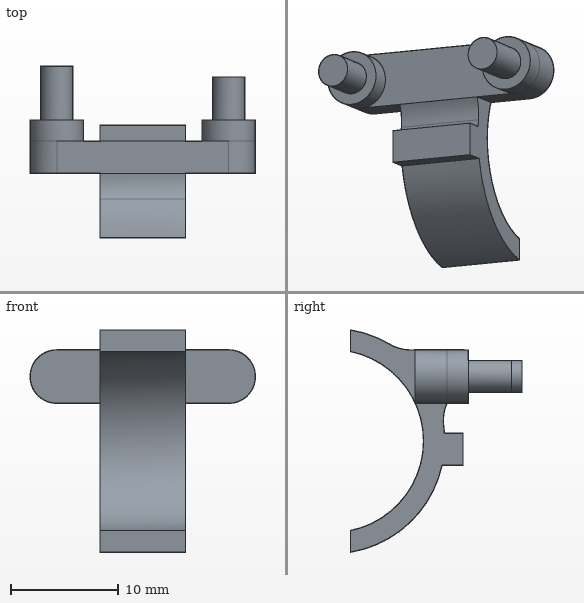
import cadquery as cq
import math

CLIP_WIDTH = 8.0
BORE_RADIUS = 8.5
RING_RADIUS = 10.5
RING_MID_RADIUS = (BORE_RADIUS + RING_RADIUS) / 2
OPENING_Y = 1.7
WEB_RADIUS = 4.0

TAB_TOP = 0.74
TAB_HEIGHT = 3.0
TAB_BACK = 12.2

BAR_LENGTH = 21.0
BAR_HEIGHT = 5.0
BAR_THICKNESS = 3.0
BAR_FRONT = 7.7
BAR_BACK = BAR_FRONT + BAR_THICKNESS
BAR_TOP = BORE_RADIUS
BAR_BOTTOM = BAR_TOP - BAR_HEIGHT
BAR_MID_Z = (BAR_TOP + BAR_BOTTOM) / 2

BOSS_LENGTH = 2.0
BOSS_BACK = BAR_BACK + BOSS_LENGTH
PEG_DIAMETER = 3.0
LEFT_PEG_LENGTH = 5.0
RIGHT_PEG_LENGTH = 4.0
PEG_X = (BAR_LENGTH - BAR_HEIGHT) / 2


def side_plane():
    """YZ plane at the left side of the clip, with its normal along +X."""
    return cq.Workplane("YZ", origin=(-CLIP_WIDTH / 2, 0, 0))


def plane_facing_back(y):
    """XZ plane at the given Y, with its normal along +Y and local X reversed."""
    return cq.Workplane(cq.Plane(origin=(0, y, 0), xDir=(-1, 0, 0), normal=(0, 1, 0)))


def make_ring():
    """Ring cut off by the opening plane."""
    ring = side_plane().circle(RING_RADIUS).circle(BORE_RADIUS).extrude(CLIP_WIDTH)
    keep = (
        side_plane()
        .center(OPENING_Y, 0)
        .rect(RING_RADIUS, 2 * RING_RADIUS, centered=(False, True))
        .extrude(CLIP_WIDTH)
    )
    return ring.intersect(keep)


def make_web(corner_y, corner_z, side):
    """Web from a bar corner to the ring, with a concave arc tangent to the ring.

    side is +1 for a web above the corner's radial line, towards the ring's
    upper end, and -1 for a web below it.
    """
    corner_distance = math.hypot(corner_y, corner_z)
    corner_angle = math.atan2(corner_z, corner_y)
    centre_distance = RING_RADIUS + WEB_RADIUS
    cosine = (corner_distance**2 + centre_distance**2 - WEB_RADIUS**2) / (
        2 * corner_distance * centre_distance
    )
    contact_angle = corner_angle + side * math.acos(cosine)
    direction = (math.cos(contact_angle), math.sin(contact_angle))
    centre = tuple(centre_distance * part for part in direction)
    contact = tuple(RING_RADIUS * part for part in direction)
    chord_y = (corner_y + contact[0]) / 2 - centre[0]
    chord_z = (corner_z + contact[1]) / 2 - centre[1]
    reach = WEB_RADIUS / math.hypot(chord_y, chord_z)
    arc_middle = (centre[0] + reach * chord_y, centre[1] + reach * chord_z)
    if side > 0:
        root = (corner_y, math.sqrt(RING_MID_RADIUS**2 - corner_y**2))
    else:
        root = (math.sqrt(RING_MID_RADIUS**2 - corner_z**2), corner_z)
    return (
        side_plane()
        .moveTo(corner_y, corner_z)
        .threePointArc(arc_middle, contact)
        .lineTo(*root)
        .close()
        .extrude(CLIP_WIDTH)
    )


def make_tab():
    """Rectangular tab rooted inside the ring."""
    return (
        side_plane()
        .center(RING_MID_RADIUS, TAB_TOP - TAB_HEIGHT)
        .rect(TAB_BACK - RING_MID_RADIUS, TAB_HEIGHT, centered=False)
        .extrude(CLIP_WIDTH)
    )


def make_clip():
    """Ring with its tab and the webs against the bar."""
    upper_web = make_web(BAR_FRONT, BAR_TOP, 1)
    lower_web = make_web(BAR_BACK, BAR_BOTTOM, -1)
    return make_ring().union(upper_web).union(lower_web).union(make_tab())


def make_peg(x, peg_length):
    """Boss and peg standing on the back of the bar."""
    boss = plane_facing_back(BAR_BACK).center(-x, BAR_MID_Z).circle(BAR_HEIGHT / 2).extrude(BOSS_LENGTH)
    peg = plane_facing_back(BOSS_BACK).center(-x, BAR_MID_Z).circle(PEG_DIAMETER / 2).extrude(peg_length)
    return boss.union(peg, clean=False)


def make_bar():
    """Round-ended bar with two pegs and a curved seat for the clip."""
    bar = (
        plane_facing_back(BAR_FRONT)
        .center(0, BAR_MID_Z)
        .slot2D(BAR_LENGTH, BAR_HEIGHT)
        .extrude(BAR_THICKNESS)
    )
    seat = side_plane().circle(RING_RADIUS).extrude(CLIP_WIDTH)
    bar = bar.cut(seat, clean=False)
    for x, peg_length in ((-PEG_X, LEFT_PEG_LENGTH), (PEG_X, RIGHT_PEG_LENGTH)):
        bar = bar.union(make_peg(x, peg_length), clean=False)
    return bar


clip = make_clip()
bar = make_bar()

result = cq.Compound.makeCompound([*clip.solids().vals(), *bar.solids().vals()])